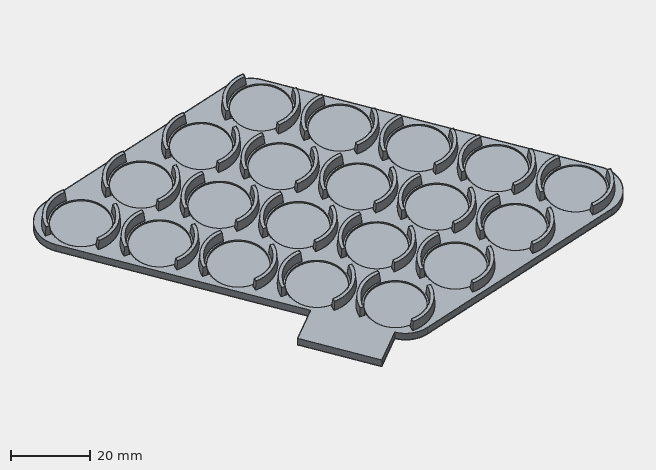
import cadquery as cq
import math

length = 138.0
plate_width = 70.0
plate_thickness = 2.5
corner_radius = 8.4
slant = math.radians(60)

tab_length = 22.5
tab_reach = 10.1

rows = 4
columns = 5
column_pitch = 21.0
slanted_pitch = 20.0
seat_diameter = 16.0
seat_depth = 0.5

clip_height = 3.0
clip_outer_diameter = 20.0
clip_inner_diameter = 17.0
clip_half_angle = math.radians(45)
clip_draft = 5

arc_y = plate_width / 2 - corner_radius
arc_x = length / 2 - corner_radius
arc_shift = 2 * arc_y / math.tan(slant)


def make_plate():
    lean = plate_width / math.tan(slant)
    far_x = arc_x + corner_radius / math.tan(slant / 2)
    corners = [
        (-far_x, -plate_width / 2),
        (far_x - lean, -plate_width / 2),
        (far_x, plate_width / 2),
        (lean - far_x, plate_width / 2),
    ]
    plate = cq.Workplane("XY").polyline(corners).close().extrude(plate_thickness)
    return plate.edges("|Z").fillet(corner_radius)


def make_tab():
    right = arc_x - arc_shift
    back = corner_radius - plate_width / 2
    front = -plate_width / 2 - tab_reach
    return (
        cq.Workplane("XY")
        .moveTo(right - tab_length, front)
        .lineTo(right, front)
        .lineTo(right, back)
        .lineTo(right - tab_length, back)
        .close()
        .extrude(plate_thickness)
    )


def arc_point(radius, angle):
    return (radius * math.cos(angle), radius * math.sin(angle))


def make_clip():
    outer_radius = clip_outer_diameter / 2
    inner_radius = clip_inner_diameter / 2
    return (
        cq.Workplane("XY")
        .moveTo(*arc_point(inner_radius, -clip_half_angle))
        .lineTo(*arc_point(outer_radius, -clip_half_angle))
        .threePointArc((outer_radius, 0), arc_point(outer_radius, clip_half_angle))
        .lineTo(*arc_point(inner_radius, clip_half_angle))
        .threePointArc((inner_radius, 0), arc_point(inner_radius, -clip_half_angle))
        .close()
        .extrude(clip_height, taper=clip_draft)
    )


def seat_centres():
    row_pitch = slanted_pitch * math.sin(slant)
    row_shift = slanted_pitch * math.cos(slant)
    centres = []
    for row in range(rows):
        row_place = row - (rows - 1) / 2
        for column in range(columns):
            column_place = column - (columns - 1) / 2
            x = column_place * column_pitch + row_place * row_shift
            centres.append((x, row_place * row_pitch))
    return centres


def make_seats():
    return (
        cq.Workplane("XY", origin=(0, 0, plate_thickness - seat_depth))
        .pushPoints(seat_centres())
        .circle(seat_diameter / 2)
        .extrude(seat_depth)
    )


result = make_plate().union(make_tab()).cut(make_seats())
right_clip = make_clip()
left_clip = right_clip.mirror("YZ")
for x, y in seat_centres():
    for clip in (right_clip, left_clip):
        result = result.union(clip.translate((x, y, plate_thickness)))